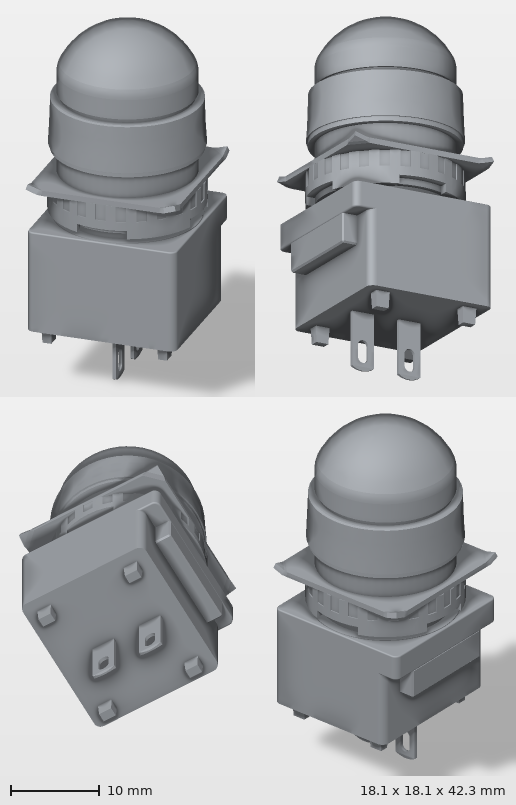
import cadquery as cq
import math


lens_top = 15.0
lens_radius = 8.0
lens_bottom = 6.78
dome_radius = 8.7
dome_rim_radius = 2.5
lens_neck_radius = 7.72

bezel_top = 6.24
bezel_top_radius = 8.72
bezel_max_radius = 8.95
bezel_flare_bottom = 0.57
bezel_foot_radius = 8.77
bezel_edge_width = 0.3
bezel_edge_height = 0.1

barrel_radius = 8.0
barrel_bottom = -7.23
neck_radius = 7.37

washer_span = 18.07
washer_top = -2.87
washer_thickness = 0.65
washer_bottom = washer_top - washer_thickness
corner_leg = 1.89
flap_length = 0.98
flap_angle = math.radians(25)
bend_radius = washer_thickness

bend_reach = (bend_radius + washer_thickness) * math.sin(flap_angle)
washer_side = washer_span + corner_leg - math.sqrt(2) * (bend_reach + flap_length)

nut_radius = 9.03
nut_bottom = -7.5
grip_count = 24
grip_width = 1.17
grip_depth = 0.15
grip_bottom = -5.44
notch_count = 4
notch_width = 6.0
notch_top = -6.5

box_side = 17.8
box_top = -8.2
box_bottom = -20.38
box_corner_radius = 0.8
box_top_fillet = 0.17
rim_radius = 8.65
rim_groove_width = 0.15
rim_groove_depth = 0.1
step_y = 7.0
step_top = -11.28
overhang_fillet = 0.2
step_corner_radius = 0.9

tab_width = 12.0
tab_bottom = -14.75
tab_chamfer = 0.2

foot_x_centers = (-7.0, 6.82)
foot_y_centers = (4.6, -6.56)
foot_length_x = 1.25
foot_length_y = 1.75
foot_height = 1.9
foot_taper = 3

terminal_y_centers = (-3.0, 3.0)
terminal_width = 2.8
terminal_thickness = 0.4
terminal_tip = -27.3
terminal_tip_height = 0.43
terminal_tip_thickness = 0.2
eye_width = 1.3
eye_length = 2.7
eye_center_z = -25.03


def cylinder(radius, bottom, top):
    return cq.Workplane("XY").workplane(offset=bottom).circle(radius).extrude(top - bottom)


def block(size_x, size_y, bottom, top, center=(0, 0)):
    base = cq.Workplane("XY").workplane(offset=bottom).center(*center)
    return base.rect(size_x, size_y).extrude(top - bottom)


def make_lens():
    """Spherical dome blended into a short cylinder, with a neck going down into the bezel."""
    dome_center = lens_top - dome_radius
    blend_center_r = lens_radius - dome_rim_radius
    center_distance = dome_radius - dome_rim_radius
    blend_angle = math.acos(blend_center_r / center_distance)
    blend_z = dome_center + center_distance * math.sin(blend_angle)

    def on_dome(angle):
        return dome_radius * math.cos(angle), dome_center + dome_radius * math.sin(angle)

    def on_blend(angle):
        return (blend_center_r + dome_rim_radius * math.cos(angle),
                blend_z + dome_rim_radius * math.sin(angle))

    profile = (
        cq.Workplane("XZ")
        .moveTo(0, bezel_top)
        .lineTo(lens_neck_radius, bezel_top)
        .lineTo(lens_neck_radius, lens_bottom)
        .lineTo(lens_radius, lens_bottom)
        .lineTo(lens_radius, blend_z)
        .threePointArc(on_blend(blend_angle / 2), on_blend(blend_angle))
        .threePointArc(on_dome((blend_angle + math.pi / 2) / 2), (0, lens_top))
        .close()
    )
    return profile.revolve(360, (0, 0, 0), (0, 1, 0))


def make_bezel_and_barrel():
    """Turned part: flared bezel, barrel through the panel and neck down to the box."""
    profile = (
        cq.Workplane("XZ")
        .moveTo(0, bezel_top)
        .lineTo(bezel_top_radius - bezel_edge_width, bezel_top)
        .lineTo(bezel_top_radius, bezel_top - bezel_edge_height)
        .lineTo(bezel_max_radius, bezel_flare_bottom)
        .lineTo(bezel_foot_radius, bezel_flare_bottom)
        .lineTo(bezel_foot_radius, 0)
        .lineTo(barrel_radius, 0)
        .lineTo(barrel_radius, barrel_bottom)
        .lineTo(neck_radius, barrel_bottom)
        .lineTo(neck_radius, box_top)
        .lineTo(0, box_top)
        .close()
    )
    return profile.revolve(360, (0, 0, 0), (0, 1, 0))


def make_box():
    """Square box, stepped back on its +Y side below the overhang."""
    upper = block(box_side, box_side, step_top, box_top)
    upper = upper.edges("|Z").fillet(box_corner_radius)
    upper = upper.faces(">Z").edges().fillet(box_top_fillet)
    upper = upper.faces("<Z").edges().fillet(overhang_fillet)

    lower_depth = box_side / 2 + step_y
    lower_center = (0, step_y - lower_depth / 2)
    lower_top = step_top + overhang_fillet
    lower = block(box_side, lower_depth, box_bottom, lower_top, lower_center)
    lower = lower.edges("|Z and >Y").fillet(step_corner_radius)
    lower = lower.edges("|Z and <Y").fillet(box_corner_radius)

    groove = cylinder(rim_radius, box_top - rim_groove_depth, box_top)
    groove = groove.cut(cylinder(rim_radius - rim_groove_width, box_top - rim_groove_depth, box_top))
    return upper.union(lower).cut(groove)


def make_tab():
    tab_depth = box_side / 2 - step_y
    tab_center = (0, step_y + tab_depth / 2)
    tab = block(tab_width, tab_depth, tab_bottom, step_top, tab_center)
    return tab.faces("<Z or >Y").edges("not <Y").edges("not >Z").chamfer(tab_chamfer)


def make_foot(x, y):
    base = cq.Workplane("XY").workplane(offset=box_bottom).center(x, y)
    return base.rect(foot_length_x, foot_length_y).extrude(-foot_height, taper=foot_taper)


def make_terminal(y):
    """Flat solder blade with a rounded, bevelled tip and an oblong eye."""
    half_width = terminal_width / 2
    shoulder = terminal_tip + terminal_tip_height
    blade = (
        cq.Workplane("YZ")
        .moveTo(y - half_width, box_bottom)
        .lineTo(y - half_width, shoulder)
        .threePointArc((y, terminal_tip), (y + half_width, shoulder))
        .lineTo(y + half_width, box_bottom)
        .close()
        .extrude(terminal_thickness / 2, both=True)
    )
    bevel = (
        cq.Workplane("XZ")
        .moveTo(-terminal_thickness / 2, box_bottom)
        .lineTo(-terminal_thickness / 2, shoulder)
        .lineTo(-terminal_tip_thickness / 2, terminal_tip)
        .lineTo(terminal_tip_thickness / 2, terminal_tip)
        .lineTo(terminal_thickness / 2, shoulder)
        .lineTo(terminal_thickness / 2, box_bottom)
        .close()
        .extrude(box_side / 2, both=True)
    )
    eye = (
        cq.Workplane("YZ")
        .center(y, eye_center_z)
        .slot2D(eye_length, eye_width, 90)
        .extrude(terminal_thickness, both=True)
    )
    return blade.intersect(bevel).cut(eye)


def make_body():
    body = make_bezel_and_barrel().union(make_box()).union(make_tab())
    for x in foot_x_centers:
        for y in foot_y_centers:
            body = body.union(make_foot(x, y))
    for y in terminal_y_centers:
        body = body.union(make_terminal(y))
    return body


def make_flap():
    """Triangular corner flap and the tapering bend that joins it to the plate, on the +X axis."""
    fold_half_width = corner_leg / math.sqrt(2)
    fold = washer_side / math.sqrt(2) - fold_half_width
    cosine = math.cos(flap_angle)
    sine = math.sin(flap_angle)
    flap_base = (fold + bend_radius * sine, 0, washer_top + bend_radius * (1 - cosine))

    plate_section = cq.Plane(origin=(fold, 0, washer_top), xDir=(0, 1, 0), normal=(1, 0, 0))
    flap_section = cq.Plane(origin=flap_base, xDir=(0, 1, 0), normal=(cosine, 0, sine))
    flap_surface = cq.Plane(origin=flap_base, xDir=(cosine, 0, sine), normal=(-sine, 0, cosine))

    def sheet_section(plane, half_width):
        outline = cq.Workplane(plane).center(0, -washer_thickness / 2)
        return outline.rect(2 * half_width, washer_thickness).wires().val()

    bend = cq.Workplane(cq.Solid.makeLoft(
        [sheet_section(plate_section, fold_half_width), sheet_section(flap_section, flap_length)],
        True,
    ))
    triangle = (
        cq.Workplane(flap_surface)
        .polyline([(0, -flap_length), (flap_length, 0), (0, flap_length)])
        .close()
        .extrude(-washer_thickness)
    )
    return bend.union(triangle)


def make_washer():
    """Square plate whose four corners are bent up along diagonal fold lines."""
    washer = block(washer_side, washer_side, washer_bottom, washer_top)
    washer = washer.edges("|Z").chamfer(corner_leg)
    flap = make_flap()
    for corner in range(4):
        washer = washer.union(flap.rotate((0, 0, 0), (0, 0, 1), 45 + 90 * corner))
    return washer.cut(cylinder(barrel_radius, washer_bottom, washer_top))


def make_nut():
    """Ring with grip slots around its upper edge and four wrench notches underneath."""
    nut = cylinder(nut_radius, nut_bottom, washer_bottom)
    nut = nut.cut(cylinder(barrel_radius, nut_bottom, washer_bottom))
    grip = block(2 * grip_depth, grip_width, grip_bottom, washer_bottom, (nut_radius, 0))
    for index in range(grip_count):
        nut = nut.cut(grip.rotate((0, 0, 0), (0, 0, 1), index * 360 / grip_count))
    notch = block(nut_radius, notch_width, nut_bottom, notch_top, (nut_radius, 0))
    for index in range(notch_count):
        nut = nut.cut(notch.rotate((0, 0, 0), (0, 0, 1), index * 360 / notch_count))
    return nut


lens = make_lens()
body = make_body()
washer = make_washer()
nut = make_nut()

result = cq.Compound.makeCompound([lens.val(), body.val(), washer.val(), nut.val()])